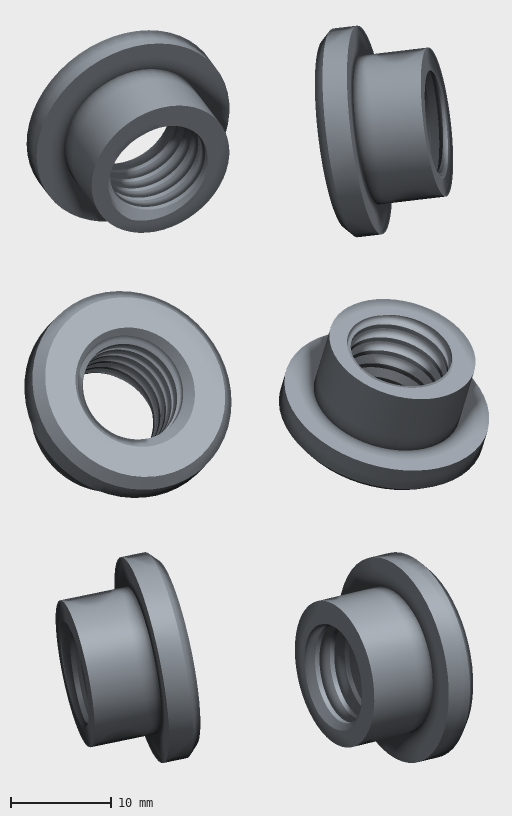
import cadquery as cq
import math

length = 10.4
flange_diameter = 21.0
flange_thickness = 3.5
flange_chamfer = 1.0
barrel_diameter = 15.0

pitch = 1.75
minor_diameter = 10.2
root_diameter = 12.33
mouth_diameter = 12.6
flank_angle = 30.0
start_angle = 342.0
lead_length = pitch
cutter_overlap = 0.1
seam_angle = 140.0


def body():
    """Flanged bush with a plain bore and a 45 degree lead-in at the flange face."""
    flange_radius = flange_diameter / 2
    barrel_radius = barrel_diameter / 2
    bore_radius = minor_diameter / 2
    mouth_radius = mouth_diameter / 2
    lead_in = mouth_radius - bore_radius
    return (
        cq.Workplane("XZ")
        .moveTo(0, mouth_radius)
        .lineTo(0, flange_radius - flange_chamfer)
        .lineTo(flange_chamfer, flange_radius)
        .lineTo(flange_thickness, flange_radius)
        .lineTo(flange_thickness, barrel_radius)
        .lineTo(length, barrel_radius)
        .lineTo(length, bore_radius)
        .lineTo(lead_in, bore_radius)
        .close()
        .revolve(360, (0, 0, 0), (1, 0, 0))
        .rotate((0, 0, 0), (1, 0, 0), seam_angle)
    )


def thread_cutter():
    """Right-hand helical groove that runs out past both ends of the bore."""
    inner_radius = minor_diameter / 2 - cutter_overlap
    outer_radius = root_diameter / 2
    mouth_half = (outer_radius - inner_radius) * math.tan(math.radians(flank_angle))
    corners = [
        (inner_radius, -mouth_half),
        (outer_radius, 0),
        (inner_radius, mouth_half),
    ]
    turned_length = length + lead_length + pitch
    helices = [
        cq.Wire.makeHelix(pitch, turned_length, radius).translate(cq.Vector(0, 0, offset))
        for radius, offset in corners
    ]
    sides = [
        cq.Face.makeRuledSurface(helices[index - 1], helices[index])
        for index in range(len(helices))
    ]
    start_points = [helix.startPoint() for helix in helices]
    end_points = [helix.endPoint() for helix in helices]
    caps = [
        cq.Face.makeFromWires(cq.Wire.makePolygon(points, close=True))
        for points in (start_points, end_points)
    ]
    groove = cq.Workplane(obj=cq.Solid.makeSolid(cq.Shell.makeShell(sides + caps)))
    return (
        groove.translate((0, 0, -lead_length))
        .rotate((0, 0, 0), (0, 1, 0), 90)
        .rotate((0, 0, 0), (1, 0, 0), start_angle)
    )


result = body().cut(thread_cutter())